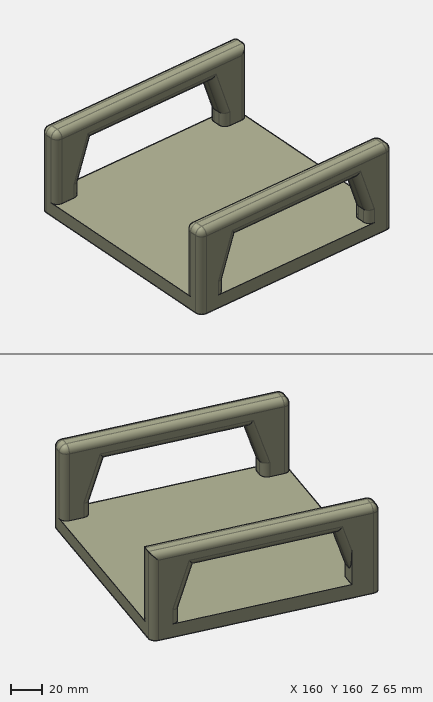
import cadquery as cq

side = 160.0
height = 65.0
floor_thickness = 10.0
handle_thickness = 15.0
edge_radius = 5.0

opening_half_width = 60.0
opening_top_half_width = 50.0
jamb_top = 20.0
opening_top = 50.0

half_side = side / 2
tolerance = 0.02


def near(value, target):
    return abs(value - target) < tolerance


def is_rounded(edge, round_back_end):
    """Tell whether a handle edge is rounded."""
    center = edge.Center()
    box = edge.BoundingBox()
    if center.z < floor_thickness + tolerance and box.zmax < jamb_top:
        return False
    if box.xlen > handle_thickness / 2:
        on_top = near(center.z, height)
        return on_top and (center.y < 0 or round_back_end)
    on_front_jamb = near(center.y, -opening_half_width) and near(box.ylen, 0)
    return not (on_front_jamb and center.x < 0 and not round_back_end)


def make_handle(center_x, round_back_end):
    frame = cq.Workplane("XY").box(
        handle_thickness, side, height, centered=(True, True, False)
    )
    opening = (
        cq.Workplane("YZ")
        .polyline([
            (-opening_half_width, floor_thickness),
            (opening_half_width, floor_thickness),
            (opening_half_width, jamb_top),
            (opening_top_half_width, opening_top),
            (-opening_top_half_width, opening_top),
            (-opening_half_width, jamb_top),
        ])
        .close()
        .extrude(handle_thickness, both=True)
    )
    frame = frame.cut(opening)
    edges = [edge for edge in frame.edges().vals() if is_rounded(edge, round_back_end)]
    return frame.newObject(edges).fillet(edge_radius).translate((center_x, 0, 0))


floor = (
    cq.Workplane("XY")
    .box(side, side, floor_thickness, centered=(True, True, False))
    .edges("|Z")
    .fillet(edge_radius)
)

handle_x = half_side - handle_thickness / 2
left_handle = make_handle(-handle_x, round_back_end=False)
right_handle = make_handle(handle_x, round_back_end=True)

result = floor.union(left_handle).union(right_handle)